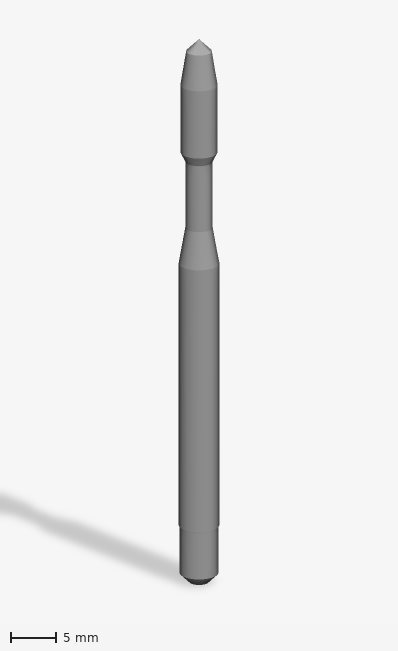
import cadquery as cq

foot_diameter = 2.2
tail_diameter = 4.3
body_diameter = 4.5
neck_diameter = 3.0
head_diameter = 4.1
tip_diameter = 2.8

total_height = 64.35
foot_top = (tail_diameter - foot_diameter) / 2
tail_top = 6.7
body_top = 37.75
neck_bottom = 42.0
neck_top = 49.85
head_bottom = 50.95
head_top = 58.95
tip_bottom = total_height - tip_diameter / 2

outline = [
    (foot_diameter, 0),
    (tail_diameter, foot_top),
    (tail_diameter, tail_top),
    (body_diameter, tail_top),
    (body_diameter, body_top),
    (neck_diameter, neck_bottom),
    (neck_diameter, neck_top),
    (head_diameter, head_bottom),
    (head_diameter, head_top),
    (tip_diameter, tip_bottom),
]

half_section = cq.Workplane("XZ").moveTo(0, 0)
for diameter, height in outline:
    half_section = half_section.lineTo(diameter / 2, height)
half_section = half_section.lineTo(0, total_height).close()

result = half_section.revolve(360, (0, 0, 0), (0, 1, 0))